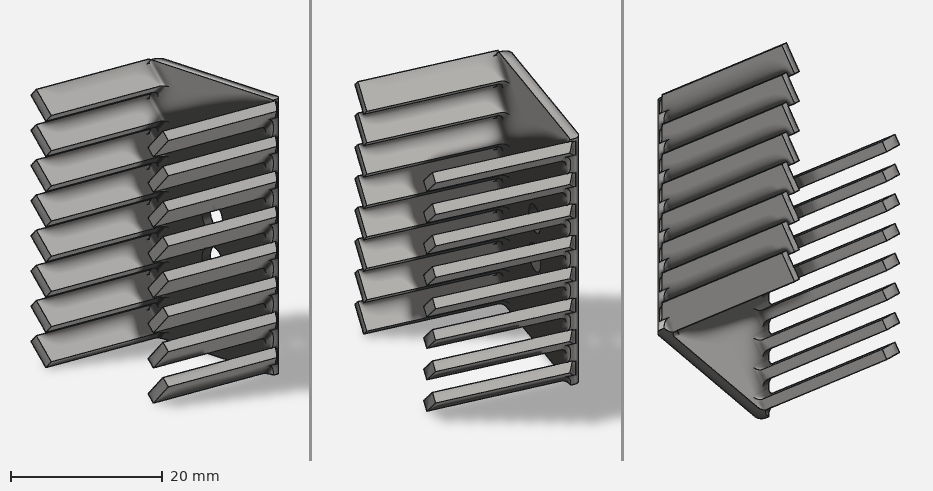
import cadquery as cq
import math

plate_width = 24.0
plate_height = 38.0
sheet_thickness = 1.5
plate_corner_radius = 1.0

hole_diameter = 4.0
hole_heights = (13.0, 19.0)

fin_count = 8
fin_span = 4.0
overall_width = 27.0
overall_depth = 21.5
root_radius = 0.75
tip_setback = sheet_thickness + root_radius

half_plate = plate_width / 2
half_overall = overall_width / 2
fin_pitch = (plate_height - fin_span) / (fin_count - 1)
fin_length = overall_depth - sheet_thickness
fin_corner = sheet_thickness / math.sqrt(2)
patch_size = 4 * fin_span


def make_plate():
    """Plate with rounded vertical back edges and the mounting holes."""
    plate = (
        cq.Workplane("XY")
        .box(plate_width, sheet_thickness, plate_height, centered=(True, False, False))
        .translate((0, -sheet_thickness, 0))
        .edges("|Z and >Y")
        .fillet(plate_corner_radius)
    )
    hole_centers = [(0, height) for height in hole_heights]
    holes = (
        cq.Workplane("XZ")
        .pushPoints(hole_centers)
        .circle(hole_diameter / 2)
        .extrude(sheet_thickness)
    )
    return plate.cut(holes)


def fin_prism(start_depth, length):
    """Tilted fin cross-section on the -X side, its top corner at z = 0."""
    left = -half_overall
    corners = [
        (left, -fin_corner),
        (left + fin_corner, 0),
        (left + fin_span, fin_corner - fin_span),
        (left + fin_span - fin_corner, -fin_span),
    ]
    return (
        cq.Workplane("XZ", origin=(0, -start_depth, 0))
        .polyline(corners)
        .close()
        .extrude(length)
    )


def make_filleted_root():
    """Fin on an oversized patch of plate, filleted all round its root, without the patch."""
    patch = (
        cq.Workplane("XY")
        .box(patch_size, sheet_thickness, patch_size)
        .translate((-half_plate, -sheet_thickness / 2, 0))
    )
    root_zone = cq.selectors.BoxSelector(
        (-half_overall - root_radius, -sheet_thickness - root_radius / 2, -fin_span - root_radius),
        (-half_overall + fin_span + root_radius, -sheet_thickness + root_radius / 2, root_radius),
    )
    fin = fin_prism(sheet_thickness, fin_length)
    return patch.union(fin).edges(root_zone).fillet(root_radius).cut(patch)


def make_overhang():
    """Part of the fin beyond the plate side: a fillet at the side, then a slope to the fin tip."""
    side = -half_plate
    anchor = side + plate_corner_radius
    tip = -half_overall
    fillet_center = (side - root_radius, root_radius - sheet_thickness)

    tip_offset_x = tip - fillet_center[0]
    tip_offset_y = -tip_setback - fillet_center[1]
    tip_direction = math.atan2(tip_offset_y, tip_offset_x)
    tangent_turn = math.acos(root_radius / math.hypot(tip_offset_x, tip_offset_y))
    slope_angle = tip_direction + tangent_turn

    def on_fillet(angle):
        return (
            fillet_center[0] + root_radius * math.cos(angle),
            fillet_center[1] + root_radius * math.sin(angle),
        )

    web = (
        cq.Workplane("XY", origin=(0, 0, -fin_span))
        .moveTo(*on_fillet(0))
        .threePointArc(on_fillet(slope_angle / 2), on_fillet(slope_angle))
        .lineTo(tip, -tip_setback)
        .lineTo(tip, -overall_depth)
        .lineTo(side, -overall_depth)
        .lineTo(side, -sheet_thickness)
        .lineTo(anchor, -sheet_thickness)
        .lineTo(anchor, fillet_center[1])
        .close()
        .extrude(fin_span)
    )
    return web.intersect(fin_prism(0, overall_depth))


def make_fin():
    """Complete left-hand fin: filleted root over the plate plus the side overhang."""
    over_plate = (
        cq.Workplane("XY")
        .box(half_plate, overall_depth, patch_size, centered=(False, False, True))
        .translate((-half_plate, -overall_depth, 0))
    )
    return make_filleted_root().intersect(over_plate).union(make_overhang())


def add_fins(body):
    """Add both fin columns, with root fillets trimmed flush with the plate's ends."""
    fin = make_fin()
    envelope = (
        cq.Workplane("XY")
        .box(overall_width, overall_depth, plate_height, centered=(True, False, False))
        .translate((0, -overall_depth, 0))
    )
    for index in range(fin_count):
        top = plate_height - index * fin_pitch
        left_fin = fin.translate((0, 0, top)).intersect(envelope)
        body = body.union(left_fin).union(left_fin.mirror("YZ"))
    return body


result = add_fins(make_plate())